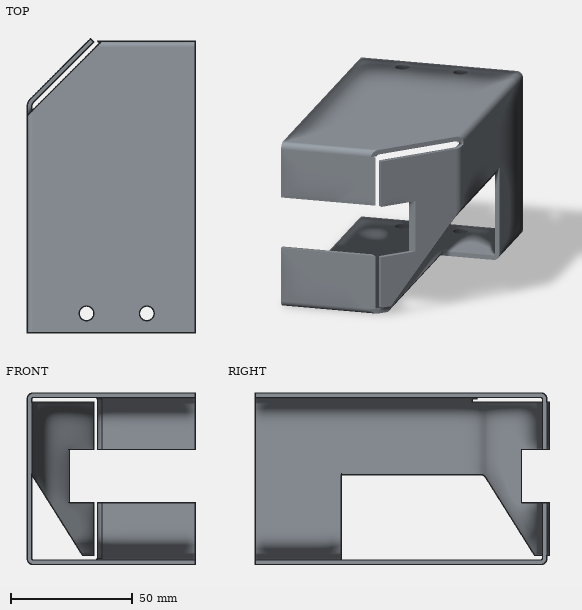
import cadquery as cq
import math

width = 69.5
height = 71.0
flap_end_y = 121.5
body_length = 120.5

sheet = 2.0
bend_outer = 2.5
bend_inner = bend_outer - sheet

flap_angle = 45
flap_bend_inner = 2.5
flap_bend_outer = flap_bend_inner + sheet
flap_tip_x = 26.2
flap_top_z = 67.2
flap_bottom_z = 3.8

corner_start_y = 89.7
corner_angle = 45

lip_start_x = 29.0
window_bottom_z = 25.6
window_top_z = 47.5
flap_window_y = 110.1

opening_start_y = 35.6
opening_edge_z = 40.2
opening_end_x = 25.3

hole_diameter = 6.0
hole_y = 8.0
hole_xs = (24.5, 49.5)


def block(x0, x1, y0, y1, z0, z1):
    """Box given by its limits along each axis."""
    return cq.Workplane("XY").box(x1 - x0, y1 - y0, z1 - z0, centered=False).translate((x0, y0, z0))


def prism(points, z0, z1):
    """Vertical prism over a plan outline."""
    return cq.Workplane("XY").workplane(offset=z0).polyline(points).close().extrude(z1 - z0)


def make_channel():
    """Top, bottom, side wall and rear wall as a shell with rounded bends, open at the front and at +X."""
    outer = block(0, width, 0, body_length, 0, height)
    outer = outer.edges("(|Y and <X) or (|X and >Y)").fillet(bend_outer)
    inner = block(sheet, width, 0, body_length - sheet, sheet, height - sheet)
    inner = inner.edges("(|Y and <X) or (|X and >Y)").fillet(bend_inner)
    return outer.cut(inner)


def cut_corner(body):
    """Slice off the rear left corner, and bevel the ends of the rear lips."""
    slope = math.tan(math.radians(corner_angle))
    lip_inner_y = body_length - sheet
    plate_cut = [
        (0, corner_start_y),
        ((body_length - corner_start_y) / slope, body_length),
        (0, body_length),
    ]
    lip_cut = [
        (0, corner_start_y),
        ((lip_inner_y - corner_start_y) / slope, lip_inner_y),
        (lip_start_x + sheet, lip_inner_y),
        (lip_start_x, body_length),
        (0, body_length),
    ]
    lip_bottom_z = bend_outer
    lip_top_z = height - bend_outer
    body = body.cut(prism(plate_cut, 0, lip_bottom_z))
    body = body.cut(prism(lip_cut, lip_bottom_z, lip_top_z))
    return body.cut(prism(plate_cut, lip_top_z, height))


def make_flap():
    """Side wall extension with a bend, leading into the slanted flap."""
    angle = math.radians(flap_angle)
    inward = (math.sin(angle), -math.cos(angle))
    turn = math.pi / 2 - angle

    bend_y = flap_end_y - flap_tip_x * math.tan(angle) - flap_bend_outer * math.tan(turn / 2)

    def bend_point(radius, swept):
        return (
            flap_bend_outer - radius * math.cos(swept),
            bend_y + radius * math.sin(swept),
        )

    tip_outer = (flap_tip_x, flap_end_y)
    tip_inner = tuple(tip + sheet * step for tip, step in zip(tip_outer, inward))
    return (
        cq.Workplane("XY")
        .workplane(offset=flap_bottom_z)
        .moveTo(0, corner_start_y)
        .lineTo(0, bend_y)
        .threePointArc(bend_point(flap_bend_outer, turn / 2), bend_point(flap_bend_outer, turn))
        .lineTo(*tip_outer)
        .lineTo(*tip_inner)
        .lineTo(*bend_point(flap_bend_inner, turn))
        .threePointArc(bend_point(flap_bend_inner, turn / 2), bend_point(flap_bend_inner, 0))
        .lineTo(sheet, corner_start_y)
        .close()
        .extrude(flap_top_z - flap_bottom_z)
    )


def cut_bend_relief(body):
    """Part the top of the flap's root from the upper plate bend."""
    return body.cut(block(0, sheet, corner_start_y, body_length, flap_top_z, height - bend_outer))


def cut_window(body):
    """Clear the window between the upper and lower rear lips and the flap prongs."""
    return body.cut(block(0, width, flap_window_y, flap_end_y, window_bottom_z, window_top_z))


def cut_opening(body):
    """Remove the lower left corner under one sloping plane, through wall, flap and bottom plate."""
    opening = (
        cq.Workplane("XZ", origin=(0, opening_start_y, 0))
        .polyline([(0, 0), (opening_end_x, 0), (0, opening_edge_z)])
        .close()
        .extrude(opening_start_y - flap_end_y)
    )
    return body.cut(opening)


def cut_holes(body):
    """Drill the mounting holes through both plates."""
    holes = (
        cq.Workplane("XY")
        .pushPoints([(x, hole_y) for x in hole_xs])
        .circle(hole_diameter / 2)
        .extrude(height)
    )
    return body.cut(holes)


part = cut_corner(make_channel())
part = part.union(make_flap())
part = cut_bend_relief(part)
part = cut_window(part)
part = cut_opening(part)
result = cut_holes(part)